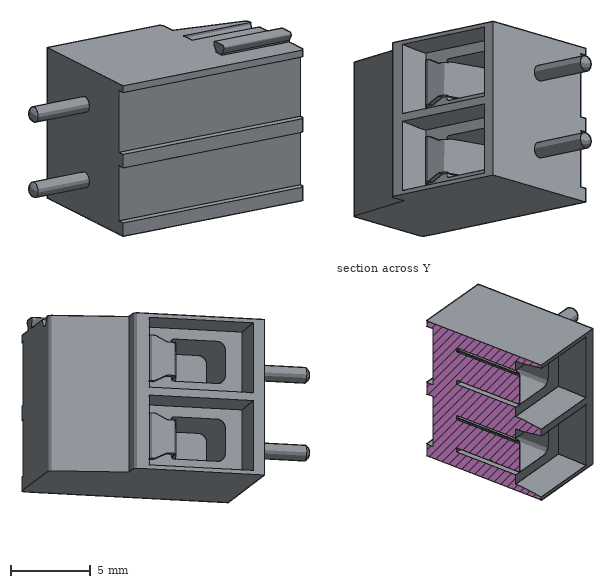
import cadquery as cq
import math

pitch = 5.0
terminal_count = 2
body_width = 9.0
body_length = 13.5
body_height = terminal_count * pitch
terminal_heights = [(i + 0.5) * pitch for i in range(terminal_count)]

rear_length = 5.0
step_y = body_length - rear_length
step_x = 1.3
rear_x = 2.2
edge_radius = 0.3

total_length = 17.6
pin_diameter = 1.0
pin_radius = pin_diameter / 2
pin_tip = 0.3
pin_length = total_length - body_length
pin_x = body_width / 2

rib_x = 6.8
rib_height = 0.69
rib_neck_width = 0.74
rib_neck_height = 0.1
rib_top_width = 1.48
rib_edge_radius = 0.15
groove_x = 3.12
groove_width = 1.04
groove_radius = groove_width / 2

recess_depth = 0.5
bar_height = 0.9

pocket_front = 0.74
pocket_length = 6.75
pocket_height = 4.49
pocket_draft_depth = 1.53
pocket_draft = 0.21
pocket_depth = 2.0
pocket_y = pocket_front + pocket_length / 2

hole_front = 2.02
hole_rear = 5.55
hole_height = 2.71
hole_front_radius = 0.56
hole_rear_radius = 0.18

tongue_rise = 0.4
tongue_face = pocket_depth - tongue_rise
tongue_rear = 7.23
tongue_rear_bend = 0.5
tongue_bend_y = 5.74
tongue_bend_radius = 0.5
tongue_slope_angle = math.radians(76)
tongue_front = 4.1
tongue_foot_edge = 7.15
tongue_flare_rear = 6.72
tongue_flare_front = 5.91
tongue_shoulder = 5.35
tongue_foot_height = 3.12
tongue_wide_height = 2.92
tongue_neck_height = 2.13
tongue_tip_height = 2.25


def on_bend(angle):
    """Point (X, Y) on the front bend, turned by angle from the flat face."""
    return (
        tongue_face + tongue_bend_radius * (1 - math.cos(angle)),
        tongue_bend_y - tongue_bend_radius * math.sin(angle),
    )


slope_start = on_bend(tongue_slope_angle)
hole_depth = slope_start[0] + (slope_start[1] - tongue_front) * math.tan(tongue_slope_angle)


def make_body():
    outline = [
        (0, 0),
        (body_width, 0),
        (body_width, body_length),
        (rear_x, body_length),
        (step_x, step_y),
        (0, step_y),
    ]
    body = cq.Workplane("XY").polyline(outline).close().extrude(body_height)
    rounded_corners = [(0, step_y), (rear_x, body_length), (body_width, body_length)]
    for x, y in rounded_corners:
        corner = cq.selectors.NearestToPointSelector((x, y, body_height / 2))
        body = body.edges("|Z").edges(corner).fillet(edge_radius)
    return body


def box(x, y, z):
    """Box from three (start, end) ranges."""
    return cq.Workplane("XY").box(
        x[1] - x[0], y[1] - y[0], z[1] - z[0], centered=False
    ).translate((x[0], y[0], z[0]))


def make_recess(index):
    bottom = bar_height if index == 0 else index * pitch + bar_height / 2
    top = (index + 1) * pitch - bar_height / 2
    return box((body_width - recess_depth, body_width), (0, body_length), (bottom, top))


def make_rib():
    neck = rib_neck_width / 2
    top = rib_top_width / 2
    half_outline = [(neck, 0), (neck, rib_neck_height), (top, rib_height)]
    mirrored = [(-x, z) for x, z in reversed(half_outline)]
    rib = cq.Workplane("XZ").polyline(half_outline + mirrored).close().extrude(-rear_length)
    rib = rib.faces(">Z").edges("|Y").fillet(rib_edge_radius)
    return rib.translate((rib_x, step_y, body_height))


def make_groove():
    groove = cq.Workplane("XZ").circle(groove_radius).extrude(-rear_length)
    return groove.translate((groove_x, step_y, body_height))


def make_pin(z):
    pin = (
        cq.Workplane("XY")
        .moveTo(0, 0)
        .lineTo(pin_radius, 0)
        .lineTo(pin_radius, pin_tip - pin_length)
    )
    cap_radius = (pin_radius**2 + pin_tip**2) / (2 * pin_tip)
    pin = pin.radiusArc((0, -pin_length), cap_radius).close()
    return pin.revolve(360, (0, 0, 0), (0, 1, 0)).translate((pin_x, 0, z))


def make_pocket(z):
    floor_length = pocket_length - 2 * pocket_draft
    floor_height = pocket_height - 2 * pocket_draft
    mouth = (
        cq.Workplane("YZ", origin=(0, pocket_y, z))
        .rect(pocket_length, pocket_height)
        .workplane(offset=pocket_draft_depth)
        .rect(floor_length, floor_height)
        .loft(ruled=True)
    )
    straight_depth = pocket_depth - pocket_draft_depth
    return mouth.faces(">X").wires().toPending().workplane().extrude(straight_depth)


def make_hole(z):
    hole = box(
        (pocket_depth, hole_depth),
        (hole_front, hole_rear),
        (z - hole_height / 2, z + hole_height / 2),
    )
    hole = hole.edges("|X and <Y").fillet(hole_front_radius)
    return hole.edges("|X and >Y").fillet(hole_rear_radius)


def make_tongue(z):
    rear_bend_angle = math.acos(1 - tongue_rise / tongue_rear_bend)
    rear_bend_y = tongue_rear - tongue_rear_bend * math.sin(rear_bend_angle)
    side = (
        cq.Workplane("XY")
        .moveTo(pocket_depth, tongue_rear)
        .threePointArc(
            (
                tongue_face + tongue_rear_bend * (1 - math.cos(rear_bend_angle / 2)),
                rear_bend_y + tongue_rear_bend * math.sin(rear_bend_angle / 2),
            ),
            (tongue_face, rear_bend_y),
        )
        .lineTo(tongue_face, tongue_bend_y)
        .threePointArc(on_bend(tongue_slope_angle / 2), slope_start)
        .lineTo(hole_depth, tongue_front)
        .lineTo(hole_depth, tongue_rear)
        .close()
        .extrude(pocket_height / 2, both=True)
    )
    half_outline = [
        (tongue_rear, tongue_foot_height / 2),
        (tongue_foot_edge, tongue_wide_height / 2),
        (tongue_flare_rear, tongue_wide_height / 2),
        (tongue_flare_front, tongue_neck_height / 2),
        (tongue_shoulder, tongue_neck_height / 2),
        (tongue_shoulder, tongue_tip_height / 2),
        (tongue_front, tongue_tip_height / 2),
    ]
    mirrored = [(y, -height) for y, height in reversed(half_outline)]
    face = cq.Workplane("YZ").polyline(half_outline + mirrored).close().extrude(hole_depth)
    return side.intersect(face).translate((0, 0, z))


result = make_body().cut(make_groove()).union(make_rib())
for terminal_index, terminal_z in enumerate(terminal_heights):
    result = result.cut(make_recess(terminal_index))
    result = result.cut(make_pocket(terminal_z)).cut(make_hole(terminal_z))
    result = result.union(make_tongue(terminal_z)).union(make_pin(terminal_z))